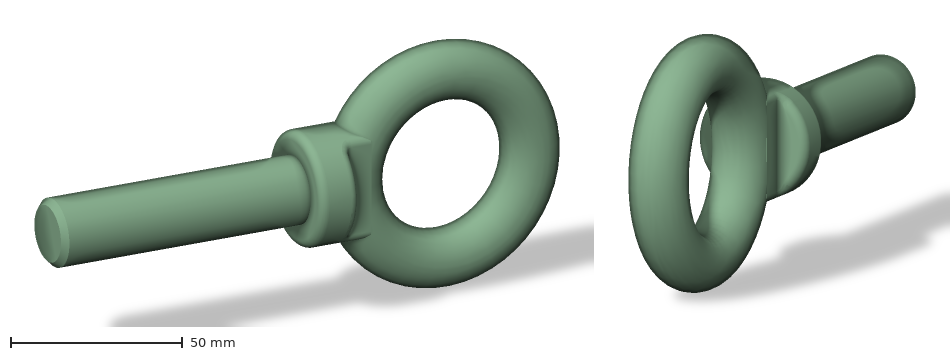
import cadquery as cq

total_length = 166.0
ring_outer_diameter = 75.5
ring_bar_diameter = 17.6

shank_diameter = 20.7
shank_length = 80.5
shank_tip_chamfer = 1.8

collar_diameter = 35.0
collar_thickness = 12.3
collar_rounding = 2.5
neck_height = 20.5
neck_root_fillet = 1.7

ring_center_y = total_length - ring_outer_diameter / 2
ring_bar_radius = ring_bar_diameter / 2
ring_path_radius = ring_outer_diameter / 2 - ring_bar_radius
shoulder_y = shank_length + collar_thickness
neck_top_y = shank_length + neck_height


def make_ring():
    """Round-bar ring whose axis is parallel to X."""
    torus = cq.Solid.makeTorus(
        ring_path_radius, ring_bar_radius, cq.Vector(0, ring_center_y, 0), cq.Vector(1, 0, 0)
    )
    return cq.Workplane(obj=torus)


def make_shank():
    """Plain shank with a chamfered tip."""
    return (
        cq.Workplane("XZ")
        .circle(shank_diameter / 2)
        .extrude(-shank_length)
        .faces("<Y")
        .chamfer(shank_tip_chamfer)
    )


def make_collar():
    """Round collar with a neck that is flat on both sides and as thick as the ring bar."""
    collar_radius = collar_diameter / 2
    fillet_end_x = ring_bar_radius + neck_root_fillet
    fillet_end_y = shoulder_y + neck_root_fillet
    profile = (
        cq.Workplane("XY")
        .moveTo(-collar_radius, shank_length)
        .lineTo(collar_radius, shank_length)
        .lineTo(collar_radius, shoulder_y)
        .lineTo(fillet_end_x, shoulder_y)
        .radiusArc((ring_bar_radius, fillet_end_y), neck_root_fillet)
        .lineTo(ring_bar_radius, neck_top_y)
        .lineTo(-ring_bar_radius, neck_top_y)
        .lineTo(-ring_bar_radius, fillet_end_y)
        .radiusArc((-fillet_end_x, shoulder_y), neck_root_fillet)
        .lineTo(-collar_radius, shoulder_y)
        .close()
        .extrude(collar_radius, both=True)
    )
    cylinder = (
        cq.Workplane("XZ", origin=(0, shank_length, 0))
        .circle(collar_radius)
        .extrude(-neck_height)
    )
    collar = cylinder.intersect(profile)
    underside = collar.faces("<Y").edges()
    shoulder_edges = collar.faces("|Y").faces("<X or >X").edges("%CIRCLE")
    return collar.newObject(underside.vals() + shoulder_edges.vals()).fillet(collar_rounding)


result = make_ring().union(make_collar()).union(make_shank())